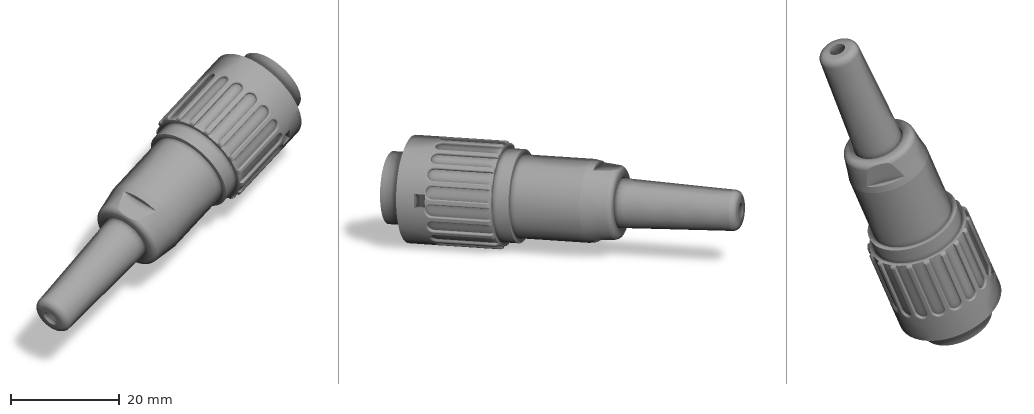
import cadquery as cq

total_length = 67.4

plug_radius = 13.5 / 2
sleeve_radius = 20.0 / 2
collar_radius = 17.4 / 2
barrel_radius = 15.5 / 2
plug_end = 4.1
sleeve_end = 22.25
collar_end = 25.35
barrel_end = 38.75
sleeve_rear_fillet = 0.6

nose_end = 44.55
nose_end_radius = 6.8
nose_fillet = 1.1
flat_start = 40.1
flat_height = 13.15 / 2

boot_root_radius = 9.6 / 2
boot_root = 40.8
boot_tip_radius = 3.8
boot_fillet = 1.3
cable_hole_diameter = 3.0

flute_count = 18
flute_start = 9.45
flute_floor_radius = 9.45
flute_width = 2.3
flute_rim_fillet = 0.3

window_start = 7.55
window_end = 9.65
window_height = 2.7
cut_margin = 0.7


def revolved(profile):
    """Revolve (radius, station) points around the Y axis."""
    points = [(radius, -station) for radius, station in profile]
    return cq.Workplane("XY").polyline(points).close().revolve(360, (0, 0, 0), (0, 1, 0))


def cylinder(radius, start, end):
    """Solid cylinder on the Y axis between two stations."""
    return revolved([(0, start), (radius, start), (radius, end), (0, end)])


def make_flute_cutter():
    """Round-ended, straight-walled flute on the +Z side with a cylindrical floor."""
    half_width = flute_width / 2
    arc_centre = flute_start + flute_rim_fillet + half_width
    open_end = sleeve_end + cut_margin
    slot = (
        cq.Workplane("XY")
        .moveTo(-half_width, -open_end)
        .lineTo(-half_width, -arc_centre)
        .threePointArc((0, half_width - arc_centre), (half_width, -arc_centre))
        .lineTo(half_width, -open_end)
        .close()
        .extrude(sleeve_radius + cut_margin)
    )
    return slot.cut(cylinder(flute_floor_radius, plug_end, open_end))


def make_sleeve():
    """Grip sleeve with rounded flute rims and a rounded rear edge."""
    sleeve = cylinder(sleeve_radius, plug_end, sleeve_end)
    cutter = make_flute_cutter()
    for index in range(flute_count):
        sleeve = sleeve.cut(cutter.rotate((0, 0, 0), (0, 1, 0), index * 360 / flute_count))
    outer_face = sleeve.faces(cq.selectors.AreaNthSelector(-1))
    rims = outer_face.edges("not(<Y or >Y)")
    sleeve = rims.fillet(flute_rim_fillet)
    envelope = cylinder(sleeve_radius, plug_end, sleeve_end)
    return sleeve.intersect(envelope.faces("<Y").edges().fillet(sleeve_rear_fillet))


def make_barrel_and_nose():
    """Collar, barrel and nose, with two wrench flats and a bore for the boot."""
    body = revolved([
        (0, sleeve_end),
        (collar_radius, sleeve_end),
        (collar_radius, collar_end),
        (barrel_radius, collar_end),
        (barrel_radius, barrel_end),
        (nose_end_radius, nose_end),
        (0, nose_end),
    ])
    body = body.faces("<Y").edges().fillet(nose_fillet)
    flat_length = nose_end - flat_start + cut_margin
    flat_depth = barrel_radius - flat_height
    for side in (1, -1):
        flat = cq.Workplane("XY").box(2 * barrel_radius, flat_length, flat_depth).translate(
            (0, -flat_start - flat_length / 2, side * (flat_height + flat_depth / 2))
        )
        body = body.cut(flat)
    return body.cut(cylinder(boot_root_radius, boot_root, nose_end))


def make_boot():
    """Boot that fills the bore at its root and tapers away from the bore wall."""
    boot = revolved([
        (0, boot_root),
        (boot_root_radius, boot_root),
        (boot_tip_radius, total_length),
        (0, total_length),
    ])
    boot = boot.faces("<Y").edges().fillet(boot_fillet)
    hole_depth = total_length - boot_root
    return boot.faces("<Y").workplane(centerOption="CenterOfMass").hole(cable_hole_diameter, hole_depth)


def cut_windows(body):
    """Side windows reaching in to the plug radius."""
    depth = sleeve_radius - plug_radius
    length = window_end - window_start
    for side in (1, -1):
        window = cq.Workplane("XY").box(depth, length, window_height).translate(
            (side * (plug_radius + depth / 2), -(window_start + window_end) / 2, 0)
        )
        body = body.cut(window)
    return body


plug = cylinder(plug_radius, 0, plug_end)
head = cut_windows(plug.union(make_sleeve()))
result = head.union(make_barrel_and_nose()).union(make_boot())